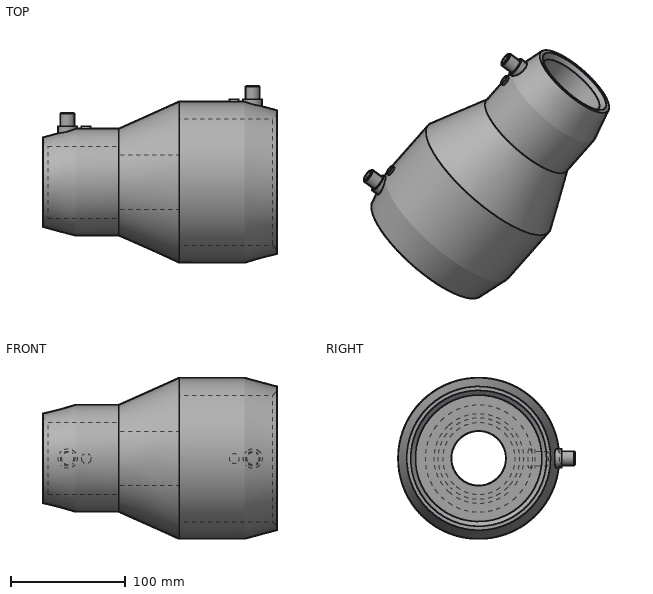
import cadquery as cq
import math

length = 204.0
taper_length = 28.5
taper_angle = 15.0
cone_start = 66.3
cone_end = 118.7

small_radius = 46.7
large_diameter = 140.5
large_radius = large_diameter / 2
taper_drop = taper_length * math.tan(math.radians(taper_angle))

small_bore = 31.5
large_bore = 55.0
passage_radius = 23.7
mouth_flare = 4.0
flare_depth = 4.0
small_socket_depth = cone_start
large_socket_start = cone_end

terminal_inset = 21.5
terminal_radius = 6.3
terminal_length = 11.6
terminal_chamfer = 1.0
collar_radius = 8.4
collar_rise = 2.0
indicator_spacing = 16.1
indicator_radius = 4.3
indicator_rise = 2.0
embed_depth = 10.2


def revolve_about_axis(points):
    """Revolve an (x, radius) outline about the X axis."""
    return cq.Workplane("XY").polyline(points).close().revolve(360, (0, 0, 0), (1, 0, 0))


def standing_cylinder(x, radius, bottom, top):
    """Cylinder along +Y between two distances from the pipe axis."""
    plane = cq.Plane(origin=(x, bottom, 0), xDir=(1, 0, 0), normal=(0, 1, 0))
    return cq.Workplane(plane).circle(radius).extrude(top - bottom)


def terminal(x, socket_radius):
    """Chamfered contact pin on a round collar sunk into the socket wall."""
    bottom = socket_radius - embed_depth
    collar_top = socket_radius + collar_rise
    collar = standing_cylinder(x, collar_radius, bottom, collar_top)
    pin = standing_cylinder(x, terminal_radius, bottom, collar_top + terminal_length)
    return collar.union(pin.faces(">Y").chamfer(terminal_chamfer))


def indicator(x, socket_radius):
    """Low round fusion indicator."""
    bottom = socket_radius - embed_depth
    return standing_cylinder(x, indicator_radius, bottom, socket_radius + indicator_rise)


body = revolve_about_axis([
    (0, 0),
    (0, small_radius - taper_drop),
    (taper_length, small_radius),
    (cone_start, small_radius),
    (cone_end, large_radius),
    (length - taper_length, large_radius),
    (length, large_radius - taper_drop),
    (length, 0),
])

sockets = [
    (terminal_inset, 1, small_radius),
    (length - terminal_inset, -1, large_radius),
]
for terminal_x, inward, socket_radius in sockets:
    body = body.union(terminal(terminal_x, socket_radius))
    body = body.union(indicator(terminal_x + inward * indicator_spacing, socket_radius))

bore = revolve_about_axis([
    (0, 0),
    (0, small_bore + mouth_flare),
    (flare_depth, small_bore),
    (small_socket_depth, small_bore),
    (small_socket_depth, passage_radius),
    (large_socket_start, passage_radius),
    (large_socket_start, large_bore),
    (length - flare_depth, large_bore),
    (length, large_bore + mouth_flare),
    (length, 0),
])

result = body.cut(bore)